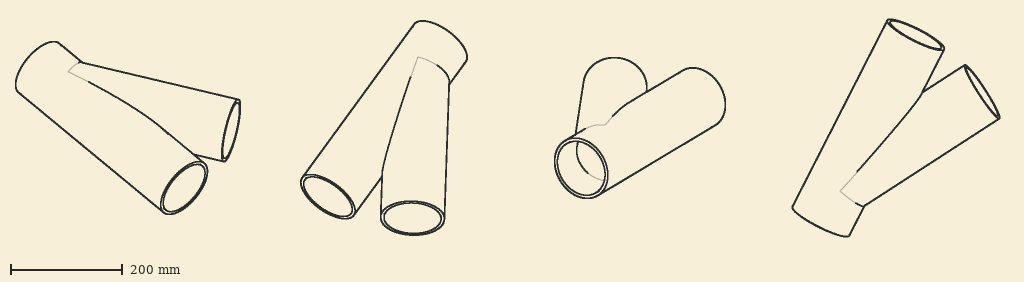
import cadquery as cq

outer_diameter = 114.3
bore_diameter = 102.0
main_length = 381.0
branch_length = 304.8
branch_angle = 30.0
branch_position = 76.2


def main_rod(diameter):
    """Solid cylinder along the main pipe axis (+X)."""
    return cq.Workplane("YZ").circle(diameter / 2).extrude(main_length)


def branch_rod(diameter):
    """Solid cylinder along the branch axis, leaning from +X toward +Y."""
    rod = cq.Workplane("YZ").circle(diameter / 2).extrude(branch_length)
    return rod.rotate((0, 0, 0), (0, 0, 1), branch_angle).translate((branch_position, 0, 0))


outer_body = main_rod(outer_diameter).union(branch_rod(outer_diameter))
result = outer_body.cut(main_rod(bore_diameter)).cut(branch_rod(bore_diameter))